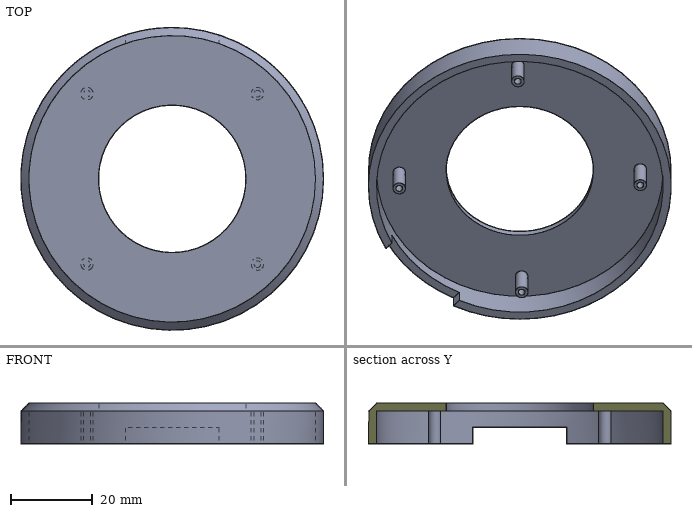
import cadquery as cq

outer_diameter = 74.0
height = 10.0
bore_diameter = 36.0
wall = 2.0
chamfer = wall

notch_width = 22.95
notch_height = 4.0

boss_diameter = 3.0
boss_hole_diameter = 1.6
boss_circle_radius = 29.45
boss_count = 4
first_boss_angle = 45.0

outer_radius = outer_diameter / 2
cavity_height = height - wall


def make_shell():
    """Chamfered disc, hollow from below, with a central bore."""
    disc = cq.Workplane("XY").circle(outer_radius).extrude(height)
    disc = disc.faces(">Z").edges().chamfer(chamfer)
    cavity = cq.Workplane("XY").circle(outer_radius - wall).extrude(cavity_height)
    bore = cq.Workplane("XY").circle(bore_diameter / 2).extrude(height)
    return disc.cut(cavity).cut(bore)


def make_notch():
    """Block that opens the lower part of the rim from the centre outward in +Y."""
    return cq.Workplane("XY").box(
        notch_width, outer_diameter, notch_height, centered=(True, False, False)
    )


def make_bosses():
    """Tubular bosses with blind holes that end at the top plate."""
    return (
        cq.Workplane("XY")
        .polarArray(boss_circle_radius, first_boss_angle, 360, boss_count)
        .circle(boss_diameter / 2)
        .circle(boss_hole_diameter / 2)
        .extrude(cavity_height)
    )


result = make_shell().cut(make_notch()).union(make_bosses())